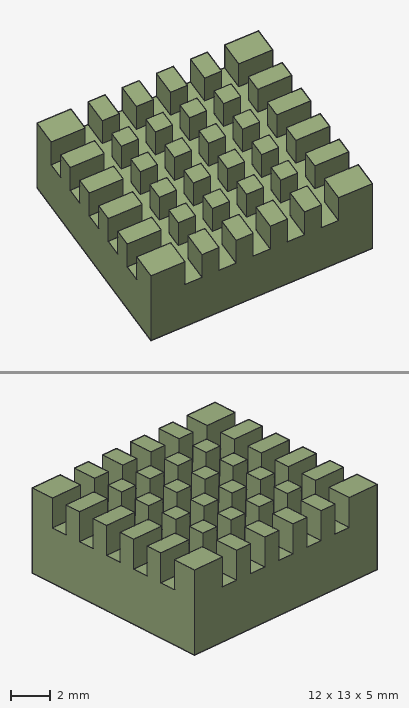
import cadquery as cq

length_x = 12.0
length_y = 13.0
height = 5.0

groove_width = 1.0
groove_depth = 1.75
groove_count = 5
groove_pitch = 2 * groove_width


def make_block():
    """Plain block, centred in X and Y, standing on Z = 0."""
    return cq.Workplane("XY").box(length_x, length_y, height, centered=(True, True, False))


def cut_grooves(body, size_x, size_y, count_x, count_y):
    """Cut a centred row of open-ended grooves, each size_x by size_y, into the top face."""
    return (
        body.faces(">Z")
        .workplane(origin=(0, 0, height))
        .rarray(groove_pitch, groove_pitch, count_x, count_y)
        .rect(size_x, size_y)
        .cutBlind(-groove_depth)
    )


block = make_block()
with_y_grooves = cut_grooves(block, groove_width, length_y, groove_count, 1)
result = cut_grooves(with_y_grooves, length_x, groove_width, 1, groove_count)